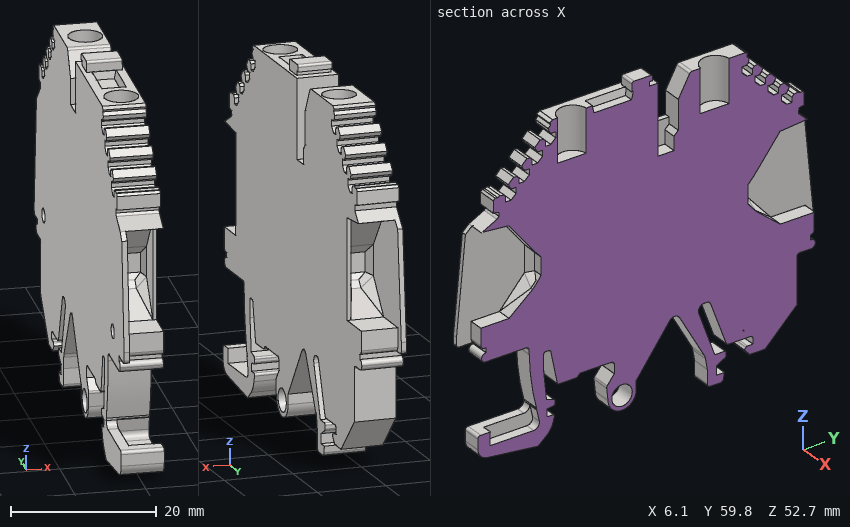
import cadquery as cq
import math


WIDTH = 6.1
PLATE = 0.8
HALF_LENGTH = 29.9
FLANK_Z = 20.2
SHOULDER_Y, SHOULDER_Z = 28.4, 36.0
PLATE_ROUND = 0.5
TOP = 51.05
CORNER = 0.3

TAB_TOP = 17.75
TAB_BOTTOM = 16.25
TAB_ROUND = 0.7

TEETH_AXIS = 0.7
TOOTH_PITCH_Y = 2.2
TOOTH_PITCH_Z = 2.2
SLOT_COUNT = 4
FIRST_SLOT = (15.6, 48.9)

EYE_Y, EYE_Z = -3.75, 3.45
EYE_RADIUS = 2.4
EYE_BORE = 1.7

PIN_HOLE_YS = (23.6, -22.35)
PIN_HOLE_Z = 20.55
PIN_HOLE_RADIUS = 1.0
PIN_HOLE_DEPTH = 1.2

SHAFT_YS = (11.7, -12.2)
SHAFT_X = 3.35
SHAFT_RADIUS = 2.4
SHAFT_DEPTH = 7.2

BUTTON_X = (0.6, 5.6)
BUTTON_Y = (-2.15, 1.4)
BUTTON_TOP = 52.7
BUTTON_ROUND = 0.35
BUTTON_LIP_Y = 0.85
BUTTON_LIP_Z = 51.65
POCKET_X = (1.4, 4.8)
POCKET_Y = (-8.7, -1.9)
POCKET_DEPTH = 1.2
POCKET_DRAFT = 14.0

GAP_Y = (2.3, 5.6)
GAP_FLOOR = 43.5
GAP_SLOPE_TOP = (7.65, TOP)
GAP_SLOPE_ROUND = 0.55
GAP_SLOPE_END = 47.35
GAP_RIM = 0.9
GAP_DEEP_FLOOR = 39.45
GAP_DEEP_Y = 4.9
GAP_DEEP_SLOPE_TOP = 42.45

LEDGE_Z = 21.95
HOOD_TIP = (27.3, 37.0)
HOOD_ROOT_Z = 36.6
RECESS_Y = 22.7
FUNNEL_X = (PLATE, 5.55)
THROAT_X = (1.55, 4.95)
THROAT_Z = (27.0, 29.9)
THROAT_Y = 17.35
FUNNEL_Y = 18.55
FUNNEL_BOTTOM_Z = 26.7
FUNNEL_TOP_Z = 31.2
DISH_X = (2.7, 4.05)
DISH_UPPER = (17.95, 26.2)
DISH_LOWER = (18.8, 25.25)
BLOCK_BOTTOM = 18.5
BLOCK_ROUND = 0.65
BLOCK_FRONT = {1: 28.45, -1: 27.45}

FOOT_RIM = 1.5
FOOT_TOP = 4.95
FOOT_POCKET_FLOOR = 2.8
FOOT_POCKET_START = (-18.1, 6.0)
FOOT_POCKET_INNER_Y = -17.4
FOOT_POCKET_LIP_Y = -25.8
FOOT_POCKET_ROUND = 0.95

REACH = 35.9


def rounded_outline(corners):
    """Closed wire in the YZ plane; each corner is (y, z) or (y, z, rounding radius)."""
    count = len(corners)
    path = None
    for i, corner in enumerate(corners):
        point = cq.Vector(*corner[:2])
        radius = corner[2] if len(corner) == 3 else 0
        back = (cq.Vector(*corners[i - 1][:2]) - point).normalized()
        ahead = (cq.Vector(*corners[(i + 1) % count][:2]) - point).normalized()
        half = back.getAngle(ahead) / 2
        setback = radius / math.tan(half)
        start = point + back * setback
        end = point + ahead * setback
        bisector = (back + ahead).normalized()
        middle = point + bisector * (radius / math.sin(half) - radius)
        if path is None:
            path = cq.Workplane("YZ").moveTo(start.x, start.y)
        else:
            path = path.lineTo(start.x, start.y)
        if radius:
            path = path.threePointArc((middle.x, middle.y), (end.x, end.y))
    return path.close()


def toothed_shoulder(side):
    """Corners of one toothed shoulder, from the flat top outward and down."""
    u0, z0 = FIRST_SLOT
    points = [(u0 + 0.55, TOP), (u0 + 1.1, TOP - 0.35), (u0 + 0.85, TOP - 0.7), (u0 + 1.25, z0 + 0.95)]
    points += [(u0 + 1.1, z0 + 0.3), (u0 + 0.7, z0)]
    slot = [(0, 0), (0, -0.9), (0.85, -1.7), (1.7, -1.7), (1.7, -0.85)]
    tooth = [(2.05, -0.5), (2.65, -0.35), (3.5, -1.3), (3.2, -1.9), (2.9, -TOOTH_PITCH_Z)]
    end_tooth = [(2.05, -0.5), (2.7, -0.35), (3.1, -0.55), (3.5, -0.5), (3.8, -0.85), (3.8, -2.8), (2.9, -3)]
    for k in range(SLOT_COUNT):
        last = k == SLOT_COUNT - 1
        for du, dz in slot + (end_tooth if last else tooth):
            points.append((u0 + k * TOOTH_PITCH_Y + du, z0 - k * TOOTH_PITCH_Z + dz))
    return [(TEETH_AXIS + side * u, z) for u, z in points]


def body_outline():
    """The full side outline, clockwise from the gap as seen from -X."""
    near_flank = [
        (-24.4, 38.7), (-24.75, 38.3), (-HOOD_TIP[0], HOOD_TIP[1]), (-SHOULDER_Y, SHOULDER_Z),
        (-HALF_LENGTH, FLANK_Z), (-HALF_LENGTH, BLOCK_BOTTOM, PLATE_ROUND), (-26.55, BLOCK_BOTTOM),
        (-26.55, TAB_TOP), (-27.3, TAB_TOP, TAB_ROUND), (-27.3, TAB_BOTTOM, TAB_ROUND),
        (-19.4, TAB_BOTTOM, 0.5),
    ]
    long_foot = [
        (-19.25, 10.4, 39.45), (-17.8, FOOT_TOP, 1.0), (-27.9, FOOT_TOP, 0.5), (-27.9, 1.2, 1.8),
        (-17.8, 0, CORNER), (-15.55, 1.9, 3.6), (-14.95, 4.25, CORNER), (-16.25, 4.25),
        (-16.25, 5.4), (-14.95, 5.6, CORNER), (-14.95, 6.5, CORNER), (-16.4, 7.0), (-16.85, 11.7),
        (-16.85, 14.6, CORNER), (-15.8, 14.6, CORNER),
    ]
    eye_arm = [
        (-14.6, 8.7, CORNER), (-11.3, 8.7), (-10.75, 9.25), (-5.1, 9.25, 0.5), (-5.1, 7.35),
        (-6.4, 5.7, 0.5), (EYE_Y - EYE_RADIUS, EYE_Z), (EYE_Y + EYE_RADIUS, EYE_Z),
        (EYE_Y + EYE_RADIUS, 4.95),
    ]
    spring_foot = [
        (5.15, 13.9, 0.95), (10.1, 5.0, 1.8), (10.45, 2.9), (10.45, 0, 0.6), (13.2, 0, 0.6), (13.4, 1.5),
        (12.1, 1.5), (12.1, 2.9), (13.7, 3.8, CORNER), (13.7, 4.85, CORNER), (11.8, 4.85), (8.65, 13.5, 0.95),
        (10.9, 13.5, 0.6),
    ]
    fixed_hook = [
        (13.75, 5.7, 0.5), (18.1, 5.7, CORNER), (18.1, 4.4), (17.05, 4.4, CORNER), (16.7, 3.95), (17.6, 2.85),
        (20.2, 2.85), (25.6, 8.2), (25.6, TAB_BOTTOM, 0.4), (28.65, TAB_BOTTOM, TAB_ROUND),
        (28.65, TAB_TOP, TAB_ROUND), (27.85, TAB_TOP), (27.85, BLOCK_BOTTOM),
        (HALF_LENGTH, BLOCK_BOTTOM, PLATE_ROUND), (HALF_LENGTH, FLANK_Z), (SHOULDER_Y, SHOULDER_Z),
        (25.8, 38.45),
    ]
    gap = [
        (*GAP_SLOPE_TOP, GAP_SLOPE_ROUND), (GAP_Y[1], GAP_SLOPE_END), (GAP_Y[1], GAP_FLOOR),
        (GAP_Y[0], GAP_FLOOR), (GAP_Y[0], TOP),
    ]
    far_shoulder = list(reversed(toothed_shoulder(1)))
    return (toothed_shoulder(-1) + near_flank + long_foot + eye_arm + spring_foot + fixed_hook
            + far_shoulder + gap)


def profile(points, x):
    """Prism along X through a (y, z) polygon."""
    return cq.Workplane("YZ").polyline(points).close().extrude(x[1] - x[0]).translate((x[0], 0, 0))


def frustum(first, second):
    """Solid between two four-sided rings of (x, y, z) corners."""
    wires = [cq.Wire.makePolygon([cq.Vector(*p) for p in ring], close=True) for ring in (first, second)]
    return cq.Workplane(cq.Solid.makeLoft(wires, True))


def ring(x, lower, upper):
    """Four corners between a lower and an upper edge, each edge given as (y, z)."""
    return [(x[0], *lower), (x[1], *lower), (x[1], *upper), (x[0], *upper)]


def polygon_face(points):
    """Flat face through (x, y, z) points."""
    return cq.Face.makeFromWires(cq.Wire.makePolygon([cq.Vector(*p) for p in points], close=True))


def twisted_face(start, end):
    """Ruled face between two straight edges, each given as a pair of (x, y, z) points."""
    edges = [cq.Edge.makeLine(cq.Vector(*a), cq.Vector(*b)) for a, b in (start, end)]
    return cq.Face.makeRuledSurface(*edges)


def dish():
    """Faceted hollow sunk into the funnel floor, tapering to a small rectangle."""
    def ends(x, y, z):
        return [(x[0], y, z), (x[1], y, z)]

    ledge = ends(FUNNEL_X, -RECESS_Y, LEDGE_Z)
    funnel = ends(FUNNEL_X, -FUNNEL_Y, FUNNEL_BOTTOM_Z)
    throat = ends(THROAT_X, -THROAT_Y, THROAT_Z[0])
    upper = ends(DISH_X, -DISH_UPPER[0], DISH_UPPER[1])
    lower = ends(DISH_X, -DISH_LOWER[0], DISH_LOWER[1])
    rows = [ledge, funnel, throat, upper, lower, ledge]
    faces = [polygon_face([*a, *reversed(b)]) for a, b in zip(rows, rows[1:])]
    for end in (0, 1):
        faces.append(polygon_face([ledge[end], funnel[end], lower[end]]))
        faces.append(twisted_face((funnel[end], throat[end]), (lower[end], upper[end])))
    return cq.Workplane(cq.Solid.makeSolid(cq.Shell.makeShell(faces)))


def wire_entry():
    """Material removed at the -Y end behind the side plate: hooded recess, funnel, throat and dish."""
    inside = (PLATE, WIDTH)
    front = profile(
        [(-REACH, LEDGE_Z), (-RECESS_Y, LEDGE_Z), (-RECESS_Y, HOOD_ROOT_Z), (-HOOD_TIP[0], HOOD_TIP[1]),
         (-HOOD_TIP[0], TOP), (-REACH, TOP)], inside)
    funnel = profile(
        [(-RECESS_Y, LEDGE_Z), (-FUNNEL_Y, FUNNEL_BOTTOM_Z), (-FUNNEL_Y, FUNNEL_TOP_Z),
         (-RECESS_Y, HOOD_ROOT_Z)], FUNNEL_X)
    throat = frustum(
        ring(FUNNEL_X, (-FUNNEL_Y, FUNNEL_BOTTOM_Z), (-FUNNEL_Y, FUNNEL_TOP_Z)),
        ring(THROAT_X, (-THROAT_Y, THROAT_Z[0]), (-THROAT_Y, THROAT_Z[1])))
    return front.union(funnel).union(throat).union(dish())


def block_trim(side):
    """Material in front of the block below a wire entry, behind the side plate."""
    front = side * BLOCK_FRONT[side]
    inner = front - side * BLOCK_ROUND
    middle = BLOCK_ROUND * (1 - math.sqrt(0.5))
    section = (
        cq.Workplane("YZ").moveTo(side * REACH, LEDGE_Z).lineTo(front, LEDGE_Z)
        .lineTo(front, BLOCK_BOTTOM + BLOCK_ROUND)
        .threePointArc((front - side * middle, BLOCK_BOTTOM + middle), (inner, BLOCK_BOTTOM))
        .lineTo(side * REACH, BLOCK_BOTTOM).close())
    return section.extrude(WIDTH - PLATE).translate((PLATE, 0, 0))


body = rounded_outline(body_outline()).extrude(WIDTH)

eye = cq.Workplane("YZ").center(EYE_Y, EYE_Z)
body = body.union(eye.circle(EYE_RADIUS).extrude(WIDTH)).cut(eye.circle(EYE_BORE).extrude(WIDTH))

entry = wire_entry()
body = body.cut(entry).cut(entry.mirror("XZ"))
for side in BLOCK_FRONT:
    body = body.cut(block_trim(side))

body = body.cut(profile(
    [(GAP_Y[0], GAP_FLOOR), (GAP_Y[1], GAP_FLOOR), (GAP_Y[1], GAP_DEEP_SLOPE_TOP),
     (GAP_DEEP_Y, GAP_DEEP_SLOPE_TOP - (GAP_Y[1] - GAP_DEEP_Y)), (GAP_DEEP_Y, GAP_DEEP_FLOOR),
     (GAP_Y[0], GAP_DEEP_FLOOR)], (GAP_RIM, WIDTH)))

button = rounded_outline(
    [(BUTTON_Y[0], TOP), (BUTTON_Y[0], BUTTON_TOP, BUTTON_ROUND), (BUTTON_Y[1], BUTTON_TOP, BUTTON_ROUND),
     (BUTTON_Y[1], BUTTON_LIP_Z), (BUTTON_LIP_Y, BUTTON_LIP_Z), (BUTTON_LIP_Y, TOP)])
button = button.extrude(BUTTON_X[1] - BUTTON_X[0]).translate((BUTTON_X[0], 0, 0))
pocket = cq.Workplane("XY", origin=(sum(POCKET_X) / 2, sum(POCKET_Y) / 2, TOP))
pocket = pocket.rect(POCKET_X[1] - POCKET_X[0], POCKET_Y[1] - POCKET_Y[0])
body = body.cut(pocket.extrude(-POCKET_DEPTH, taper=POCKET_DRAFT)).union(button)

shafts = cq.Workplane("XY", origin=(0, 0, TOP)).pushPoints([(SHAFT_X, y) for y in SHAFT_YS])
body = body.cut(shafts.circle(SHAFT_RADIUS).extrude(-SHAFT_DEPTH))

pins = cq.Workplane("YZ").pushPoints([(y, PIN_HOLE_Z) for y in PIN_HOLE_YS])
body = body.cut(pins.circle(PIN_HOLE_RADIUS).extrude(PIN_HOLE_DEPTH))

foot_pocket = rounded_outline([
    FOOT_POCKET_START, (FOOT_POCKET_INNER_Y, FOOT_POCKET_FLOOR, FOOT_POCKET_ROUND),
    (FOOT_POCKET_LIP_Y, FOOT_POCKET_FLOOR), (FOOT_POCKET_LIP_Y, FOOT_POCKET_START[1])])
foot_pocket = foot_pocket.extrude(WIDTH - FOOT_RIM).translate((FOOT_RIM, 0, 0))

result = body.cut(foot_pocket)